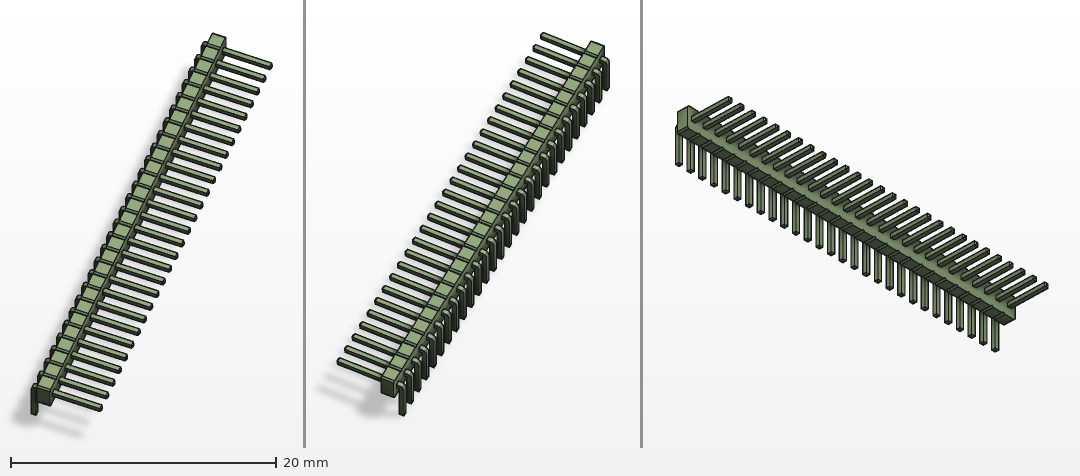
import cadquery as cq

ROW_LENGTH = 35.55
PIN_COUNT = 28
PITCH = ROW_LENGTH / PIN_COUNT

PIN_REACH = 5.7
TOTAL_HEIGHT = 4.5

BODY_DEPTH = 1.05
BODY_HEIGHT = 2.1
BODY_STANDOFF = 0.65
BODY_CHAMFER = 0.15

PIN_SIZE = 0.4
TIP_LENGTH = 0.1
TIP_INSET = 0.1

BEND_RADIUS = PIN_SIZE

BODY_TOP = TOTAL_HEIGHT
BODY_BOTTOM = BODY_TOP - BODY_HEIGHT
PIN_AXIS_Z = (BODY_TOP + BODY_BOTTOM) / 2
PIN_TOP = PIN_AXIS_Z + PIN_SIZE / 2


def housing_cell():
    """One housing block with its four long edges along X chamfered."""
    return (
        cq.Workplane("YZ", origin=(BODY_STANDOFF, 0, PIN_AXIS_Z))
        .rect(PITCH, BODY_HEIGHT)
        .extrude(BODY_DEPTH)
        .edges("|X")
        .chamfer(BODY_CHAMFER)
    )


def tapered_tip(base_plane):
    """Truncated pyramid that ends a square pin."""
    end_size = PIN_SIZE - 2 * TIP_INSET
    return (
        base_plane.rect(PIN_SIZE, PIN_SIZE)
        .workplane(offset=TIP_LENGTH)
        .rect(end_size, end_size)
        .loft(combine=True)
    )


def bent_pin():
    """Square pin: a contact along +X, a quarter-round bend and a tail down -Z."""
    contact_end = PIN_REACH - TIP_LENGTH
    shank = (
        cq.Workplane("XZ", origin=(0, PIN_SIZE / 2, 0))
        .moveTo(0, TIP_LENGTH)
        .lineTo(0, PIN_TOP - BEND_RADIUS)
        .radiusArc((BEND_RADIUS, PIN_TOP), BEND_RADIUS)
        .lineTo(contact_end, PIN_TOP)
        .lineTo(contact_end, PIN_TOP - PIN_SIZE)
        .lineTo(PIN_SIZE, PIN_TOP - PIN_SIZE)
        .lineTo(PIN_SIZE, TIP_LENGTH)
        .close()
        .extrude(PIN_SIZE)
    )
    contact_tip = tapered_tip(cq.Workplane("YZ", origin=(contact_end, 0, PIN_AXIS_Z)))
    tail_plane = cq.Plane(
        origin=(PIN_SIZE / 2, 0, TIP_LENGTH), xDir=(1, 0, 0), normal=(0, 0, -1)
    )
    tail_tip = tapered_tip(cq.Workplane(tail_plane))
    return shank.union(contact_tip).union(tail_tip)


position = housing_cell().union(bent_pin()).val()
result = (
    cq.Workplane("XY")
    .rarray(PITCH, PITCH, 1, PIN_COUNT)
    .eachpoint(lambda location: position.moved(location))
    .combine()
)